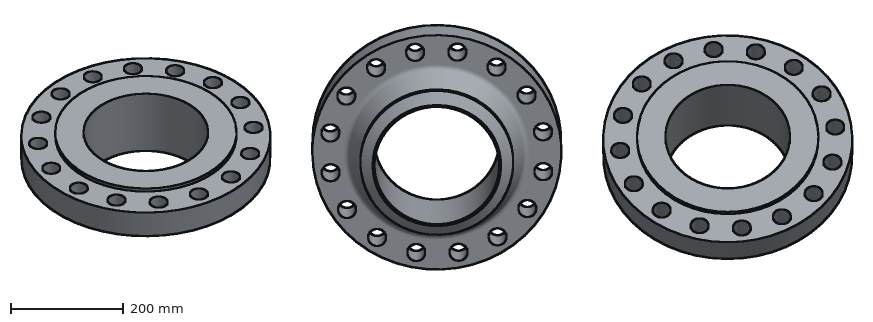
import cadquery as cq
import math

flange_radius = 222.2
flange_thickness = 54.0
raised_face_radius = 162.0
raised_face_height = 7.0
bore_radius = 111.0

bolt_count = 16
bolt_circle_radius = 193.5
bolt_hole_diameter = 32.0

overall_height = 130.2
hub_top_radius = 158.5
root_fillet_radius = 11.0
neck_radius = 136.5
neck_land_height = 7.5
bevel_height = 14.2
weld_end_radius = 114.5

flange_top = overall_height - raised_face_height
flange_bottom = flange_top - flange_thickness
neck_land_top = bevel_height + neck_land_height


def turned_body():
    """Revolve the half section, with a rounded corner where hub meets flange."""
    hub_angle = math.atan2(flange_bottom - neck_land_top, hub_top_radius - neck_radius)
    tangent_length = root_fillet_radius * math.tan(hub_angle / 2)
    fillet_center_r = hub_top_radius + tangent_length
    fillet_center_z = flange_bottom - root_fillet_radius
    hub_tangent = (
        hub_top_radius - tangent_length * math.cos(hub_angle),
        flange_bottom - tangent_length * math.sin(hub_angle),
    )
    half_turn = hub_angle / 2
    fillet_middle = (
        fillet_center_r - root_fillet_radius * math.sin(half_turn),
        fillet_center_z + root_fillet_radius * math.cos(half_turn),
    )
    return (
        cq.Workplane("XZ")
        .moveTo(bore_radius, 0)
        .lineTo(weld_end_radius, 0)
        .lineTo(neck_radius, bevel_height)
        .lineTo(neck_radius, neck_land_top)
        .lineTo(*hub_tangent)
        .threePointArc(fillet_middle, (fillet_center_r, flange_bottom))
        .lineTo(flange_radius, flange_bottom)
        .lineTo(flange_radius, flange_top)
        .lineTo(raised_face_radius, flange_top)
        .lineTo(raised_face_radius, overall_height)
        .lineTo(bore_radius, overall_height)
        .close()
        .revolve(360, (0, 0, 0), (0, 1, 0))
    )


def bolt_holes():
    """Cutters for the evenly spaced bolt holes, the first one on the +X axis."""
    return (
        cq.Workplane("XY")
        .workplane(offset=flange_bottom)
        .polarArray(bolt_circle_radius, 0, 360, bolt_count)
        .circle(bolt_hole_diameter / 2)
        .extrude(flange_thickness)
    )


result = turned_body().cut(bolt_holes())